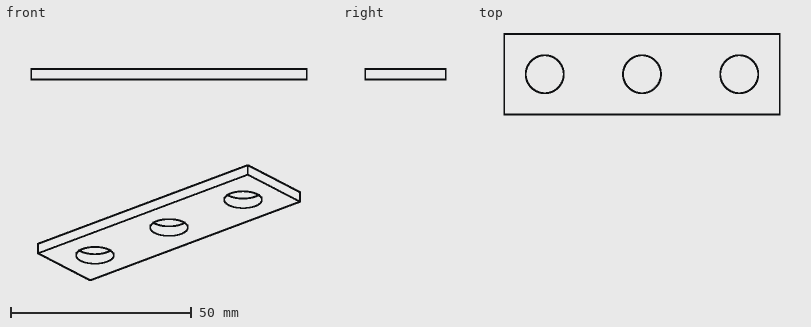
import cadquery as cq

length = 76.2
width = 22.3
thickness = 3.0

hole_diameter = 10.45
hole_pitch = 26.9
hole_count = 3

bar = cq.Workplane("XY").box(length, width, thickness)

result = (
    bar.faces(">Z")
    .workplane()
    .rarray(hole_pitch, 0.8, hole_count, 1)
    .hole(hole_diameter)
)